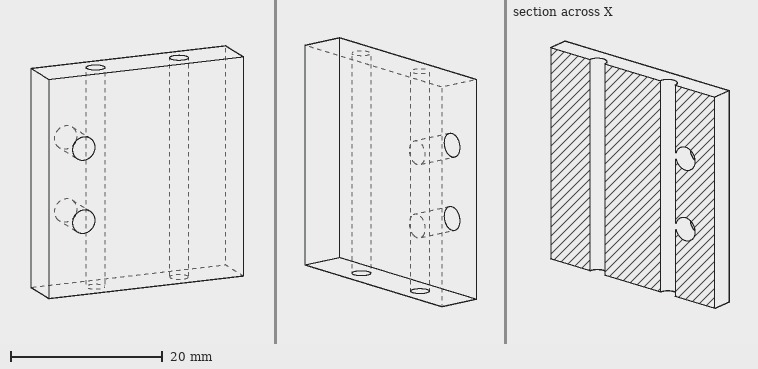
import cadquery as cq

thickness = 6.0
depth = 28.0
height = 30.0

vertical_hole_diameter = 2.5
vertical_hole_spacing = 12.0
first_vertical_hole_offset = 8.0

cross_hole_diameter = 3.2
cross_hole_spacing = height / 3
cross_hole_offset = 5.0

front_edge = -depth / 2

plate = cq.Workplane("XY").box(thickness, depth, height)

first_vertical_y = front_edge + first_vertical_hole_offset
vertical_holes = (
    cq.Workplane("XY", origin=(0, 0, -height / 2))
    .pushPoints([(0, first_vertical_y), (0, first_vertical_y + vertical_hole_spacing)])
    .circle(vertical_hole_diameter / 2)
    .extrude(height)
)

cross_y = front_edge + cross_hole_offset
cross_holes = (
    cq.Workplane("YZ", origin=(-thickness / 2, 0, 0))
    .pushPoints([(cross_y, -cross_hole_spacing / 2), (cross_y, cross_hole_spacing / 2)])
    .circle(cross_hole_diameter / 2)
    .extrude(thickness)
)

result = plate.cut(vertical_holes).cut(cross_holes)